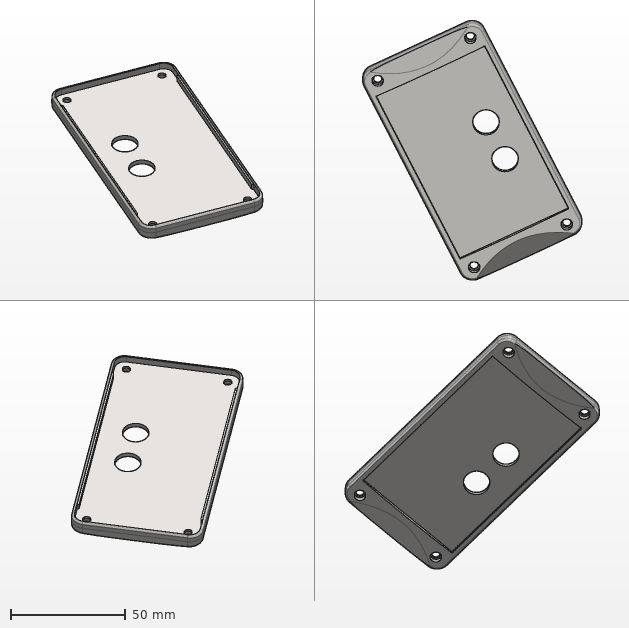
import cadquery as cq


length = 108.0
width = 58.6
height = 7.5
corner_radius = 5.9

parting_z = height - 3.0
upper_draft = 3.0
lower_draft = 1.0
edge_radius = 1.0

dome_sag = 1.2
end_bevel_length = 9.0
end_bevel_height = 0.9
recess_length = 83.8
recess_width = 52.9
recess_ceiling = 2.3

wall = 1.5
tray_depth = 3.0
tray_draft = 2.0
tray_floor = height - tray_depth
rib_length = 85.3
rib_thickness = 0.8
rib_drop = 0.3

screw_diameter = 3.6
counterbore_diameter = 5.0
screw_shoulder = 1.1
screw_pitch_x = 96.1
screw_pitch_y = 45.1
window_diameter = 11.6
window_pitch = 19.0
window_y = -11.3


def rounded_block(size_x, size_y, radius, base_z, rise, draft=0.0):
    """Rounded rectangle extruded from base_z; a negative rise goes down."""
    sketch = cq.Sketch().rect(size_x, size_y).vertices().fillet(radius)
    block = cq.Workplane("XY").placeSketch(sketch).extrude(abs(rise), taper=draft)
    if rise < 0:
        block = block.mirror("XY")
    return block.translate((0, 0, base_z))


def domed_prism():
    """Prism along X whose bottom is a shallow arc across Y."""
    half = width / 2
    return (
        cq.Workplane("YZ")
        .moveTo(-half, dome_sag)
        .threePointArc((0, 0), (half, dome_sag))
        .lineTo(half, height)
        .lineTo(-half, height)
        .close()
        .extrude(length / 2, both=True)
    )


def end_bevel(side):
    """Wedge that slopes the dome up toward one short end."""
    outer = side * length / 2
    inner = outer - side * end_bevel_length
    return (
        cq.Workplane("XZ")
        .polyline([(inner, 0), (outer, 0), (outer, end_bevel_height)])
        .close()
        .extrude(width / 2, both=True)
    )


def rib(side):
    """Thickening of a long inner wall, with 45 degree ends."""
    wall_y = side * (width / 2 - wall)
    face_y = wall_y - side * rib_thickness
    root_y = wall_y + side * wall / 2
    half = rib_length / 2
    half_face = half - rib_thickness
    return (
        cq.Workplane("XY", origin=(0, 0, tray_floor))
        .polyline([
            (-half, root_y), (-half, wall_y), (-half_face, face_y),
            (half_face, face_y), (half, wall_y), (half, root_y),
        ])
        .close()
        .extrude(tray_depth - rib_drop)
    )


upper = rounded_block(length, width, corner_radius, parting_z, height - parting_z, upper_draft)
lower = rounded_block(length, width, corner_radius, parting_z, -parting_z, lower_draft)
body = upper.union(lower).intersect(domed_prism())
body = body.faces(">Z").edges().fillet(edge_radius)
body = body.faces("<Z").edges().fillet(edge_radius)

for side in (-1, 1):
    body = body.cut(end_bevel(side))
body = body.cut(cq.Workplane("XY").box(recess_length, recess_width, 2 * recess_ceiling))

tray = rounded_block(
    length - 2 * wall, width - 2 * wall, corner_radius - wall, tray_floor, tray_depth, -tray_draft
)
body = body.cut(tray)
for side in (-1, 1):
    body = body.union(rib(side))

screw_grid = cq.Workplane("XY").rarray(screw_pitch_x, screw_pitch_y, 2, 2)
screws = screw_grid.circle(screw_diameter / 2).extrude(height)
counterbores = screw_grid.circle(counterbore_diameter / 2).extrude(tray_floor - screw_shoulder)
windows = (
    cq.Workplane("XY")
    .center(0, window_y)
    .rarray(window_pitch, 1.1, 2, 1)
    .circle(window_diameter / 2)
    .extrude(height)
)
result = body.cut(screws).cut(counterbores).cut(windows)